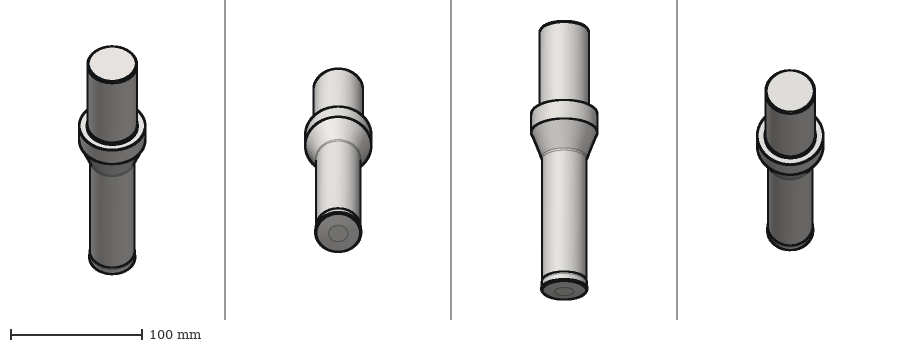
import cadquery as cq
import math

TOTAL_LENGTH = 219.71
SHANK_LENGTH = 69.85
FLANGE_THICKNESS = 15.875
FLANGE_TOP = TOTAL_LENGTH - SHANK_LENGTH
FLANGE_BOTTOM = FLANGE_TOP - FLANGE_THICKNESS
BAND_TOP = 7.0
TIP_LENGTH = 8.8

SHANK_RADIUS = 38.1 / 2
FLANGE_RADIUS = 50.8 / 2
NECK_RADIUS = 34.2 / 2
BAND_TOP_RADIUS = 34.7 / 2
TIP_RADIUS = 35.3 / 2
TIP_FACE_RADIUS = 7.3

RELIEF_INNER_RADIUS = SHANK_RADIUS - 0.2
RELIEF_OUTER_RADIUS = SHANK_RADIUS + 0.5
RELIEF_TOP = FLANGE_TOP + 1.75
RELIEF_TAPER_HEIGHT = 0.6
RELIEF_BOTTOM = FLANGE_TOP - 0.4

SHANK_CHAMFER_WIDTH = 1.0
SHANK_CHAMFER_HEIGHT = 1.5
FLANGE_CHAMFER = 0.4
TIP_CHAMFER_WIDTH = 0.9
TIP_CHAMFER_HEIGHT = 1.3
TIP_FACE_RISE = 0.9

CONE_TOP_RADIUS = FLANGE_RADIUS - 0.3
CONE_ANGLE = math.radians(20)
BLEND_RADIUS = 5.0
CONE_END_RADIUS = NECK_RADIUS + BLEND_RADIUS * (1 - math.cos(CONE_ANGLE))
CONE_END = FLANGE_BOTTOM - (CONE_TOP_RADIUS - CONE_END_RADIUS) / math.tan(CONE_ANGLE)
BLEND_BOTTOM = CONE_END - BLEND_RADIUS * math.sin(CONE_ANGLE)
BLEND_MID = (
    NECK_RADIUS + BLEND_RADIUS * (1 - math.cos(CONE_ANGLE / 2)),
    BLEND_BOTTOM + BLEND_RADIUS * math.sin(CONE_ANGLE / 2),
)


def revolve_about_z(profile):
    """Spin a closed (radius, height) profile a full turn about the Z axis."""
    return profile.close().revolve(360, (0, 0, 0), (0, 1, 0))


def make_holder():
    """Shank, flange, cone and neck in one turned body that ends flat on the tip."""
    profile = (
        cq.Workplane("XZ")
        .moveTo(0, TIP_LENGTH)
        .lineTo(NECK_RADIUS, TIP_LENGTH)
        .lineTo(NECK_RADIUS, BLEND_BOTTOM)
        .threePointArc(BLEND_MID, (CONE_END_RADIUS, CONE_END))
        .lineTo(CONE_TOP_RADIUS, FLANGE_BOTTOM)
        .lineTo(FLANGE_RADIUS, FLANGE_BOTTOM)
        .lineTo(FLANGE_RADIUS, FLANGE_TOP - FLANGE_CHAMFER)
        .lineTo(FLANGE_RADIUS - FLANGE_CHAMFER, FLANGE_TOP)
        .lineTo(RELIEF_OUTER_RADIUS, FLANGE_TOP)
        .lineTo(RELIEF_OUTER_RADIUS, RELIEF_BOTTOM)
        .lineTo(RELIEF_INNER_RADIUS, RELIEF_BOTTOM)
        .lineTo(RELIEF_INNER_RADIUS, RELIEF_TOP - RELIEF_TAPER_HEIGHT)
        .lineTo(SHANK_RADIUS, RELIEF_TOP)
        .lineTo(SHANK_RADIUS, TOTAL_LENGTH - SHANK_CHAMFER_HEIGHT)
        .lineTo(SHANK_RADIUS - SHANK_CHAMFER_WIDTH, TOTAL_LENGTH)
        .lineTo(0, TOTAL_LENGTH)
    )
    return revolve_about_z(profile)


def make_tip():
    """Flared disc with a tapered band, a chamfered rim and a shallow conical end face."""
    profile = (
        cq.Workplane("XZ")
        .lineTo(TIP_FACE_RADIUS, 0)
        .lineTo(TIP_RADIUS - TIP_CHAMFER_WIDTH, TIP_FACE_RISE)
        .lineTo(TIP_RADIUS, TIP_FACE_RISE + TIP_CHAMFER_HEIGHT)
        .lineTo(BAND_TOP_RADIUS, BAND_TOP)
        .lineTo(NECK_RADIUS, TIP_LENGTH)
        .lineTo(0, TIP_LENGTH)
    )
    return revolve_about_z(profile)


holder = make_holder()
tip = make_tip()
result = cq.Compound.makeCompound([holder.val(), tip.val()])